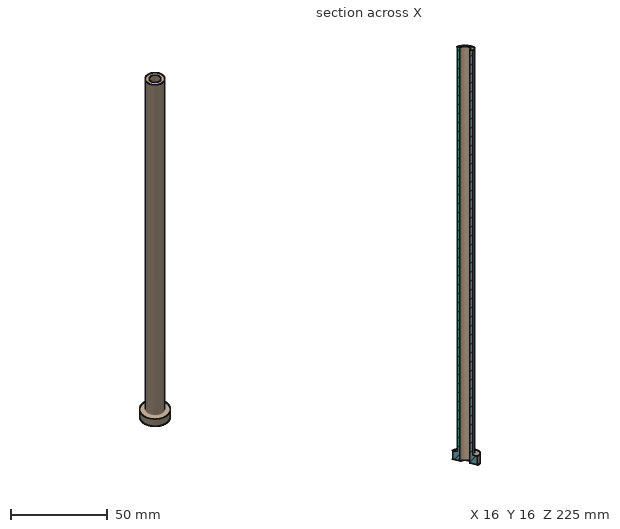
import cadquery as cq

total_length = 225.0
head_diameter = 16.0
head_height = 5.0
tube_diameter = 10.1
bore_diameter = 6.0
root_fillet = 0.5

head_radius = head_diameter / 2
tube_radius = tube_diameter / 2
bore_radius = bore_diameter / 2
fillet_top = head_height + root_fillet
fillet_outer = tube_radius + root_fillet

profile = (
    cq.Workplane("XZ")
    .moveTo(bore_radius, 0)
    .lineTo(head_radius, 0)
    .lineTo(head_radius, head_height)
    .lineTo(fillet_outer, head_height)
    .radiusArc((tube_radius, fillet_top), root_fillet)
    .lineTo(tube_radius, total_length)
    .lineTo(bore_radius, total_length)
    .close()
)

result = profile.revolve(360, (0, 0, 0), (0, 1, 0))